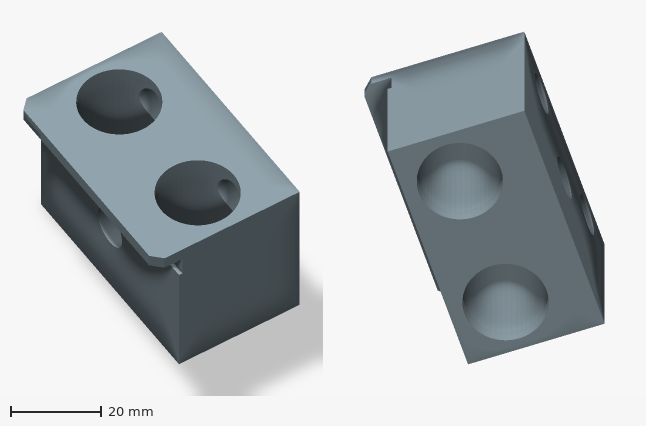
import cadquery as cq

width = 55.9
depth = 38.1
height = 38.1
lip_overhang = 6.25
lip_thickness = 3.2
lip_chamfer = 2.45

groove_height = 4.8
groove_depth = 0.9

bore_diameter = 19.05
bore_spacing = 31.75

center_hole_diameter = 9.8
side_hole_diameter = 9.5
side_hole_drop = 7.7

back_y = depth / 2
lip_front_y = -depth / 2
body_front_y = lip_front_y + lip_overhang
lip_bottom_z = height - lip_thickness
bore_centers_x = (-bore_spacing / 2, bore_spacing / 2)


def make_body():
    """Side profile in the YZ plane, extruded across the width."""
    groove_y = body_front_y + groove_depth
    groove_bottom_z = lip_bottom_z - groove_height
    profile = [
        (back_y, 0),
        (back_y, height),
        (lip_front_y, height),
        (lip_front_y, lip_bottom_z),
        (groove_y, lip_bottom_z),
        (groove_y, groove_bottom_z),
        (body_front_y, groove_bottom_z),
        (body_front_y, 0),
    ]
    body = cq.Workplane("YZ").polyline(profile).close().extrude(width / 2, both=True)
    return body.faces("<Y").edges("|Z").chamfer(lip_chamfer)


def hole_along_y(x, z, diameter, start_y):
    """Cylinder from start_y out through the back face."""
    return cq.Workplane(
        cq.Solid.makeCylinder(
            diameter / 2, back_y - start_y, cq.Vector(x, start_y, z), cq.Vector(0, 1, 0)
        )
    )


result = make_body()

for bore_x in bore_centers_x:
    bore = cq.Workplane("XY").center(bore_x, 0).circle(bore_diameter / 2).extrude(height)
    result = result.cut(bore)
    side_hole = hole_along_y(bore_x, height - side_hole_drop, side_hole_diameter, 0)
    result = result.cut(side_hole)

result = result.cut(hole_along_y(0, height / 2, center_hole_diameter, body_front_y))